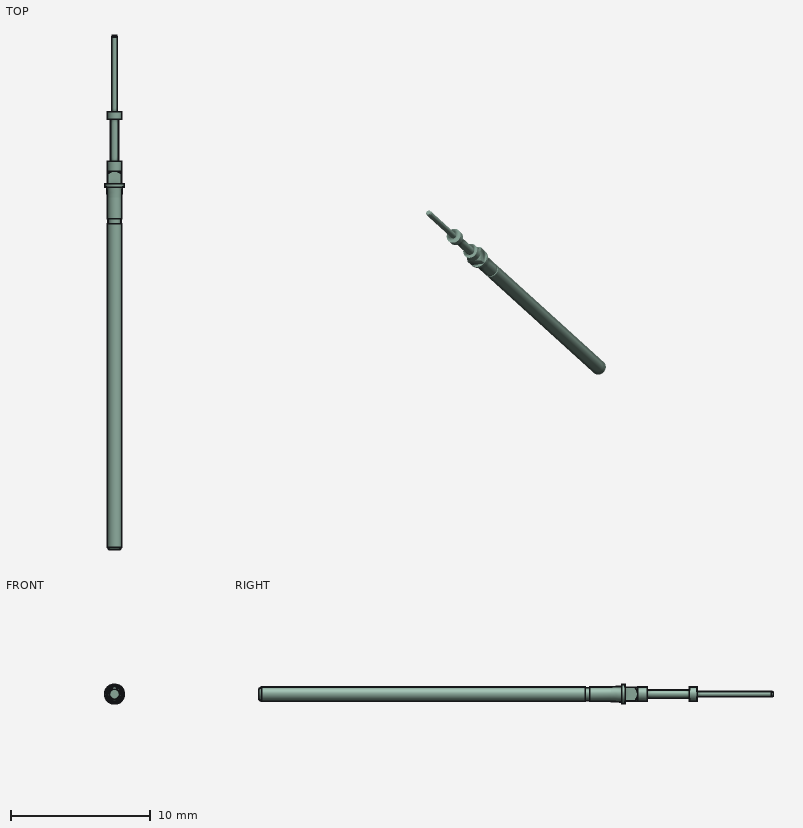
import cadquery as cq

BARREL_CHAMFER_LENGTH = 0.2
BARREL_CHAMFER_DEPTH = 0.16
GROOVE_START = 23.34
GROOVE_END = 23.68
REAR_STEP = 25.2
FLANGE_START = 25.95
FLANGE_END = 26.2
SQUARE_END = 27.1
SLEEVE_END = 27.8
COLLAR_START = 30.8
COLLAR_END = 31.35
OVERALL_LENGTH = 36.8
PIN_CHAMFER_LENGTH = 0.15
PIN_CHAMFER_DEPTH = 0.05

BARREL_DIAMETER = 1.05
GROOVE_DIAMETER = 0.95
NECK_DIAMETER_AT_FLANGE = 1.14
FLANGE_DIAMETER = 1.4
SLEEVE_DIAMETER = 1.05
COLLAR_DIAMETER = 1.05
SHAFT_DIAMETER = 0.6
PIN_DIAMETER = 0.4

SQUARE_WIDTH = 1.02
SQUARE_CORNER_DIAMETER = 1.4
SQUARE_BEVEL = 0.18


def cylinder(diameter, start, end):
    """Solid cylinder on the Y axis between two lengthwise positions."""
    return cq.Workplane("XZ", origin=(0, start, 0)).circle(diameter / 2).extrude(start - end)


def cone(start_diameter, end_diameter, start, end):
    """Solid truncated cone on the Y axis between two lengthwise positions."""
    axis = cq.Vector(0, 1, 0)
    base = cq.Vector(0, start, 0)
    return cq.Workplane(cq.Solid.makeCone(start_diameter / 2, end_diameter / 2, end - start, base, axis))


def chamfered_barrel():
    straight = cylinder(BARREL_DIAMETER, BARREL_CHAMFER_LENGTH, REAR_STEP)
    tip_diameter = BARREL_DIAMETER - 2 * BARREL_CHAMFER_DEPTH
    return straight.union(cone(tip_diameter, BARREL_DIAMETER, 0, BARREL_CHAMFER_LENGTH))


def barrel_groove():
    ring = cylinder(FLANGE_DIAMETER, GROOVE_START, GROOVE_END)
    return ring.cut(cylinder(GROOVE_DIAMETER, GROOVE_START, GROOVE_END))


def square_section():
    """Square with turned corners, its free end bevelled by a cone."""
    length = SQUARE_END - FLANGE_END
    blank = cylinder(SQUARE_CORNER_DIAMETER, FLANGE_END, SQUARE_END).faces(">Y").chamfer(SQUARE_BEVEL)
    square = cq.Workplane("XZ", origin=(0, FLANGE_END, 0)).rect(SQUARE_WIDTH, SQUARE_WIDTH).extrude(-length)
    return blank.intersect(square)


def contact_pin():
    chamfer_start = OVERALL_LENGTH - PIN_CHAMFER_LENGTH
    tip_diameter = PIN_DIAMETER - 2 * PIN_CHAMFER_DEPTH
    straight = cylinder(PIN_DIAMETER, COLLAR_END, chamfer_start)
    return straight.union(cone(PIN_DIAMETER, tip_diameter, chamfer_start, OVERALL_LENGTH))


result = (
    chamfered_barrel()
    .cut(barrel_groove())
    .union(cone(BARREL_DIAMETER, NECK_DIAMETER_AT_FLANGE, REAR_STEP, FLANGE_START))
    .union(cylinder(FLANGE_DIAMETER, FLANGE_START, FLANGE_END))
    .union(square_section())
    .union(cylinder(SLEEVE_DIAMETER, SQUARE_END, SLEEVE_END))
    .union(cylinder(SHAFT_DIAMETER, SLEEVE_END, COLLAR_START))
    .union(cylinder(COLLAR_DIAMETER, COLLAR_START, COLLAR_END))
    .union(contact_pin())
)